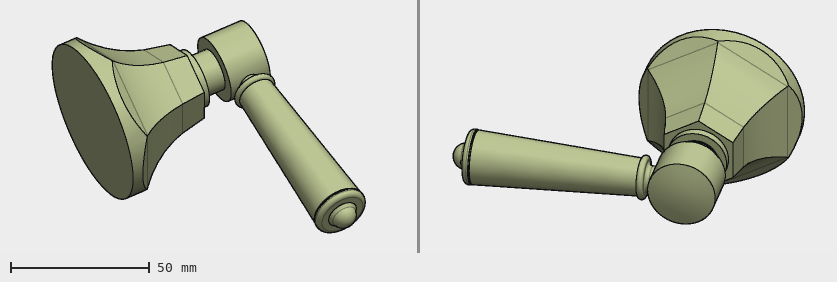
import cadquery as cq
import math


base_radius = 30.165
prism_half_length = 2 * base_radius
flare_side_count = 6
flare_bottom_angle = 45.0
rim_face_height = 4.0
flare_arc_start_y = 8.4
flare_arc_end_y = 29.1
flare_arc_end_apothem = 14.4
flare_top_y = 38.9
flare_top_apothem = 12.7

collar_radius = 11.1
collar_top_y = 42.0
step_radius = 8.2
step_top_y = 42.4
neck_radius = 7.94
knob_radius = 12.5
knob_bottom_y = 50.1
knob_side_top_y = 66.2
knob_crown_y = 68.11

lever_axis_y = 57.96
lever_root_radius = 4.6
lever_flare_start_x = 12.86
lever_flare_end_radius = 6.3
bead_start_x = 14.5
bead_start_radius = 6.6
bead_peak_x = 15.8
bead_radius = 8.1
bead_end_x = 17.1
grip_start_radius = 6.95
grip_end_x = 78.05
grip_end_radius = 10.0
groove_width = 0.5
groove_depth = 0.3
band_radius = 10.15
band_end_x = 81.04
band_round = 1.8
finial_flange_radius = 5.7
finial_start_x = 82.35
finial_radius = 4.76
lever_tip_x = 86.175


def circle_point(center_x, center_y, radius, angle_degrees):
    """Point on a circle, used as the middle point of an arc."""
    angle = math.radians(angle_degrees)
    return (center_x + radius * math.cos(angle), center_y + radius * math.sin(angle))


def flare_prism():
    """Flare profile, symmetric about the Y axis, extruded along Z."""
    slope = math.tan(math.radians(flare_bottom_angle))
    bottom_apothem = base_radius + rim_face_height * slope
    arc_start_apothem = base_radius - (flare_arc_start_y - rim_face_height) * slope
    half = (
        cq.Workplane("XY")
        .lineTo(bottom_apothem, 0)
        .lineTo(arc_start_apothem, flare_arc_start_y)
        .tangentArcPoint((flare_arc_end_apothem, flare_arc_end_y), relative=False)
        .lineTo(flare_top_apothem, flare_top_y)
        .lineTo(0, flare_top_y)
        .close()
        .extrude(prism_half_length, both=True)
    )
    return half.union(half.mirror("YZ"))


def flared_base():
    """Round blank trimmed by one flared prism per pair of opposite sides."""
    base = cq.Workplane("XZ").circle(base_radius).extrude(-flare_top_y)
    prism = flare_prism()
    for pair in range(flare_side_count // 2):
        turn = pair * 360 / flare_side_count
        base = base.intersect(prism.rotate((0, 0, 0), (0, 1, 0), turn))
    return base


def stem_and_knob():
    """Collar, small step, neck and domed knob, turned about the Y axis."""
    crown_height = knob_crown_y - knob_side_top_y
    dome_radius = (knob_radius ** 2 + crown_height ** 2) / (2 * crown_height)
    dome_half_angle = math.degrees(math.asin(knob_radius / dome_radius))
    dome_middle = circle_point(0, knob_crown_y - dome_radius, dome_radius, 90 - dome_half_angle / 2)
    return (
        cq.Workplane("XY")
        .moveTo(0, flare_arc_end_y)
        .lineTo(collar_radius, flare_arc_end_y)
        .lineTo(collar_radius, collar_top_y)
        .lineTo(step_radius, collar_top_y)
        .lineTo(step_radius, step_top_y)
        .lineTo(neck_radius, step_top_y)
        .lineTo(neck_radius, knob_bottom_y)
        .lineTo(knob_radius, knob_bottom_y)
        .lineTo(knob_radius, knob_side_top_y)
        .threePointArc(dome_middle, (0, knob_crown_y))
        .close()
        .revolve(360, (0, 0, 0), (0, 1, 0))
    )


def lever():
    """Beaded root, tapered grip, grooved end band and round finial."""
    groove_end_x = grip_end_x + groove_width
    groove_floor = grip_end_radius - groove_depth
    round_middle = circle_point(band_end_x - band_round, band_radius - band_round, band_round, 45)
    tip_length = lever_tip_x - finial_start_x
    tip_radius = (finial_radius ** 2 + tip_length ** 2) / (2 * tip_length)
    tip_half_angle = math.degrees(math.asin(finial_radius / tip_radius))
    tip_middle = circle_point(lever_tip_x - tip_radius, 0, tip_radius, tip_half_angle / 2)
    profile = (
        cq.Workplane("XY", origin=(0, lever_axis_y, 0))
        .lineTo(0, lever_root_radius)
        .lineTo(lever_flare_start_x, lever_root_radius)
        .tangentArcPoint((bead_start_x, lever_flare_end_radius), relative=False)
        .lineTo(bead_start_x, bead_start_radius)
        .threePointArc((bead_peak_x, bead_radius), (bead_end_x, grip_start_radius))
        .lineTo(grip_end_x, grip_end_radius)
        .lineTo(grip_end_x, groove_floor)
        .lineTo(groove_end_x, groove_floor)
        .lineTo(groove_end_x, band_radius)
        .lineTo(band_end_x - band_round, band_radius)
        .threePointArc(round_middle, (band_end_x, band_radius - band_round))
        .lineTo(band_end_x, finial_flange_radius)
        .lineTo(finial_start_x, finial_radius)
        .threePointArc(tip_middle, (lever_tip_x, 0))
        .close()
    )
    return profile.revolve(360, (0, 0, 0), (1, 0, 0))


result = flared_base().union(stem_and_knob()).union(lever())